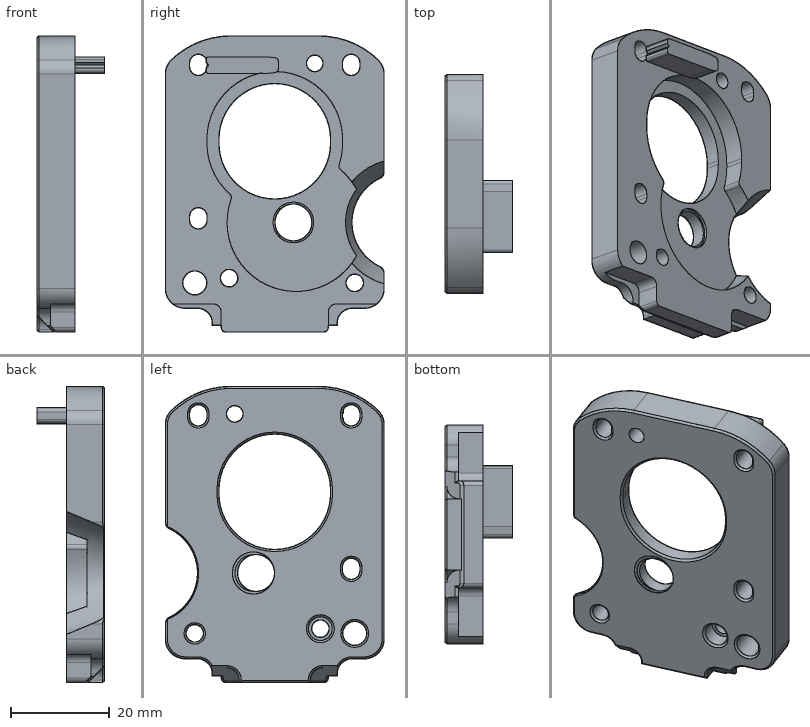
import cadquery as cq
import math


HEIGHT = 59.85
WIDTH = 44.2
HALF_WIDTH = WIDTH / 2
TOTAL_DEPTH = 13.7
PLATE_THICKNESS = 7.7
EDGE_CHAMFER = 0.4
TOP_FLAT_HALF = 8.85
TOP_ARC_RADIUS = 17.35
CORNER_RADIUS = 4.0

FRONT_LAYER = 2.75
FRONT_SHOULDER_Z = 4.8
FRONT_FOOT_HALF = 12.6
FRONT_FOOT_Z = 1.4
FRONT_FOOT_FILLET = 3.0
REAR_SHOULDER_Z = 5.7
REAR_FOOT_HALF = 10.85
REAR_FOOT_FILLET = 1.6
REAR_FOOT_END_RADIUS = 0.95
BEVEL = 3.4
BEVEL_INNER_HALF = 7.2
BEVEL_FILLET = 2.5

NOTCH_RADIUS = 9.9
NOTCH_REAR_RADIUS = 12.85
NOTCH_LIP = 0.25
NOTCH_Y = 25.5
NOTCH_Z = 22.15
NOTCH_LIP_RADIUS = 1.5

BORE_DIAMETER = 22.5
BORE_Z = 38.55
STRETCH = 0.8
RECESS_FLOOR_X = 3.55
BORE_RECESS_DIAMETER = 27.4

SHAFT_DIAMETER = 7.4
SHAFT_Y = 3.8
SHAFT_Z = 22.15
SEAT_Y = 4.3
SEAT_STEPS = ((8.5, 0.09), (SHAFT_DIAMETER, 0.2))
GEAR_RECESS_DIAMETER = 27.9
SHAFT_COUNTERBORE_DIAMETER = 8.2
SHAFT_COUNTERBORE_X = 3.0
RECESS_CORNER_RADIUS = 0.95

MOUNT_DIAMETER = 3.5
MOUNT_Y = 15.45
MOUNT_TOP_Z = 54.0
MOUNT_LOW_Z = 23.0
LOWER_HOLE_Y = 16.15
LOWER_HOLE_Z = 9.95
LARGE_HOLE_DIAMETER = 4.8
STEPPED_HOLE_Y = -9.2
STEPPED_HOLE_Z = 10.9
STEPPED_HOLE_DEPTH = 3.9
PIN_HOLE_DIAMETER = 3.3
PIN_HOLE_Y = 8.1
PIN_HOLE_Z = 54.3

TONGUE_TOP_Z = 55.6
TONGUE_BOTTOM_Z = 52.25
TONGUE_MIN_Y = -13.9
TONGUE_MAX_Y = 0.7
TONGUE_EDGE_RADIUS = 0.55
TONGUE_TIP_RADIUS = 0.8
TONGUE_TAPER_LENGTH = 2.3
TONGUE_TAPER_DROP = 0.25
GROOVE_DEPTH = 0.55


def yz_plane(x):
    return cq.Workplane("YZ", origin=(x, 0, 0))


def arc_drop(run):
    """Fall of the top arc at a horizontal run from the end of the top flat."""
    return TOP_ARC_RADIUS - math.sqrt(TOP_ARC_RADIUS ** 2 - run ** 2)


def layer(x_start, x_end, shoulder_z, foot_half, foot_z, foot_fillet):
    """One full-outline slice of the plate, its foot ending at foot_z."""
    run = HALF_WIDTH - TOP_FLAT_HALF
    side_top = HEIGHT - arc_drop(run)
    arc_mid = (TOP_FLAT_HALF + run / 2, HEIGHT - arc_drop(run / 2))
    slab = (
        yz_plane(x_start)
        .moveTo(-TOP_FLAT_HALF, HEIGHT)
        .lineTo(TOP_FLAT_HALF, HEIGHT)
        .threePointArc(arc_mid, (HALF_WIDTH, side_top))
        .lineTo(HALF_WIDTH, FRONT_SHOULDER_Z)
        .lineTo(-HALF_WIDTH, FRONT_SHOULDER_Z)
        .lineTo(-HALF_WIDTH, side_top)
        .threePointArc((-arc_mid[0], arc_mid[1]), (-TOP_FLAT_HALF, HEIGHT))
        .close()
        .extrude(x_end - x_start)
    )
    corners = slab.edges("|X and (>Y or <Y)")
    slab = corners.fillet(CORNER_RADIUS)
    trim = yz_plane(x_start).rect(2 * WIDTH, 2 * shoulder_z).extrude(x_end - x_start)
    foot_top = shoulder_z + foot_fillet
    foot = (
        yz_plane(x_start)
        .center(0, (foot_z + foot_top) / 2)
        .rect(2 * foot_half, foot_top - foot_z)
        .extrude(x_end - x_start)
    )
    slab = slab.cut(trim).union(foot)
    inner = cq.selectors.BoxSelector(
        (x_start - 0.6, -foot_half - 0.05, shoulder_z - 0.05), (x_end + 0.6, foot_half + 0.05, shoulder_z + 0.05)
    )
    return slab.edges("|X").edges(inner).fillet(foot_fillet)


def cone(radius_front, radius_rear, x_start, x_end):
    axis = cq.Vector(1, 0, 0)
    base = cq.Vector(x_start, NOTCH_Y, NOTCH_Z)
    return cq.Workplane(cq.Solid.makeCone(radius_front, radius_rear, x_end - x_start, base, axis))


def notch_cutter():
    """Round notch with rounded mouth corners, a fine front chamfer and a flare behind the lip."""
    band_half = NOTCH_RADIUS + 2 * NOTCH_LIP_RADIUS
    band = (
        yz_plane(0)
        .center(HALF_WIDTH + NOTCH_RADIUS / 2, NOTCH_Z)
        .rect(NOTCH_RADIUS, 2 * band_half)
        .extrude(PLATE_THICKNESS)
    )
    cutter = band.union(yz_plane(0).center(NOTCH_Y, NOTCH_Z).circle(NOTCH_RADIUS).extrude(PLATE_THICKNESS))
    mouth = cq.selectors.BoxSelector(
        (-0.6, HALF_WIDTH - 0.05, NOTCH_Z - band_half + 0.05),
        (PLATE_THICKNESS + 0.6, HALF_WIDTH + 0.05, NOTCH_Z + band_half - 0.05),
    )
    cutter = cutter.edges("|X").edges(mouth).fillet(NOTCH_LIP_RADIUS)
    cutter = cutter.union(cone(NOTCH_RADIUS + NOTCH_LIP, NOTCH_RADIUS, 0, NOTCH_LIP))
    return cutter.union(cone(NOTCH_RADIUS, NOTCH_REAR_RADIUS, NOTCH_LIP, PLATE_THICKNESS))


def foot_middle():
    """Unbevelled middle of the foot, flaring out into the bevelled ends."""
    flare_half = BEVEL_INNER_HALF + BEVEL_FILLET
    flare_top = BEVEL - EDGE_CHAMFER
    flare_z = flare_top - BEVEL_FILLET
    top_z = BEVEL + BEVEL_FILLET
    middle = (
        yz_plane(0)
        .moveTo(-BEVEL_INNER_HALF, 0)
        .lineTo(BEVEL_INNER_HALF, 0)
        .lineTo(BEVEL_INNER_HALF, flare_z)
        .radiusArc((flare_half, flare_top), BEVEL_FILLET)
        .lineTo(flare_half, top_z)
        .lineTo(-flare_half, top_z)
        .lineTo(-flare_half, flare_top)
        .radiusArc((-BEVEL_INNER_HALF, flare_z), BEVEL_FILLET)
        .close()
        .extrude(BEVEL)
    )
    lower = cq.selectors.BoxSelector((-0.6, -flare_half, -0.6), (EDGE_CHAMFER, flare_half, flare_top))
    return middle.faces("<X").edges(lower).chamfer(EDGE_CHAMFER)


def bevel_wedge():
    profile = [(0, BEVEL), (BEVEL, 0), (BEVEL, -BEVEL), (0, -BEVEL)]
    return cq.Workplane("XZ", origin=(0, WIDTH, 0)).polyline(profile).close().extrude(2 * WIDTH)


def stretched_hole(diameter, y, z, x_start, x_end):
    return (
        yz_plane(x_start).center(y, z).slot2D(diameter + STRETCH, diameter, 90).extrude(x_end - x_start)
    )


def round_hole(diameter, y, z, x_start, x_end):
    return yz_plane(x_start).center(y, z).circle(diameter / 2).extrude(x_end - x_start)


def rear_recesses():
    bore_recess = stretched_hole(BORE_RECESS_DIAMETER, 0, BORE_Z, RECESS_FLOOR_X, PLATE_THICKNESS)
    gear_recess = round_hole(GEAR_RECESS_DIAMETER, SEAT_Y, SHAFT_Z, RECESS_FLOOR_X, PLATE_THICKNESS)
    recess = bore_recess.union(gear_recess)
    meeting = cq.selectors.BoxSelector(
        (0, -WIDTH, SHAFT_Z + 0.6), (TOTAL_DEPTH, WIDTH, BORE_Z - STRETCH)
    )
    recess = recess.edges("|X").edges(meeting).fillet(RECESS_CORNER_RADIUS)
    counterbore = round_hole(
        SHAFT_COUNTERBORE_DIAMETER, SHAFT_Y, SHAFT_Z, SHAFT_COUNTERBORE_X, PLATE_THICKNESS
    )
    return recess.union(counterbore)


def tongue():
    mid_z = (TONGUE_TOP_Z + TONGUE_BOTTOM_Z) / 2
    taper_y = TONGUE_MAX_Y - TONGUE_TAPER_LENGTH
    bar = (
        yz_plane(PLATE_THICKNESS)
        .moveTo(TONGUE_MIN_Y, TONGUE_BOTTOM_Z)
        .lineTo(taper_y, TONGUE_BOTTOM_Z)
        .lineTo(TONGUE_MAX_Y, TONGUE_BOTTOM_Z + TONGUE_TAPER_DROP)
        .lineTo(TONGUE_MAX_Y, TONGUE_TOP_Z - TONGUE_TAPER_DROP)
        .lineTo(taper_y, TONGUE_TOP_Z)
        .lineTo(TONGUE_MIN_Y, TONGUE_TOP_Z)
        .close()
        .extrude(TOTAL_DEPTH - PLATE_THICKNESS)
    )
    bar = bar.faces(">Y").edges("|X").fillet(TONGUE_TIP_RADIUS)
    bar = bar.faces("<Y").edges("|X").fillet(TONGUE_EDGE_RADIUS)
    groove = (
        yz_plane(PLATE_THICKNESS)
        .moveTo(TONGUE_MIN_Y, mid_z - GROOVE_DEPTH)
        .lineTo(TONGUE_MIN_Y + GROOVE_DEPTH, mid_z)
        .lineTo(TONGUE_MIN_Y, mid_z + GROOVE_DEPTH)
        .close()
        .extrude(TOTAL_DEPTH - PLATE_THICKNESS)
    )
    return bar.cut(groove)


front = layer(0, FRONT_LAYER, FRONT_SHOULDER_Z, FRONT_FOOT_HALF, FRONT_FOOT_Z, FRONT_FOOT_FILLET)
rear = layer(FRONT_LAYER, PLATE_THICKNESS, REAR_SHOULDER_Z, REAR_FOOT_HALF, FRONT_FOOT_Z, REAR_FOOT_FILLET)

front = front.cut(stretched_hole(BORE_DIAMETER, 0, BORE_Z, 0, PLATE_THICKNESS))
rear = rear.cut(stretched_hole(BORE_DIAMETER, 0, BORE_Z, 0, PLATE_THICKNESS))
mount_places = [(MOUNT_Y, MOUNT_TOP_Z), (-MOUNT_Y, MOUNT_TOP_Z), (-MOUNT_Y, MOUNT_LOW_Z)]
holes = round_hole(MOUNT_DIAMETER, LOWER_HOLE_Y, LOWER_HOLE_Z, 0, PLATE_THICKNESS)
for y, z in mount_places:
    holes = holes.union(stretched_hole(MOUNT_DIAMETER, y, z, 0, PLATE_THICKNESS))
holes = holes.union(round_hole(LARGE_HOLE_DIAMETER, -LOWER_HOLE_Y, LOWER_HOLE_Z, 0, PLATE_THICKNESS))
holes = holes.union(round_hole(LARGE_HOLE_DIAMETER, STEPPED_HOLE_Y, STEPPED_HOLE_Z, 0, STEPPED_HOLE_DEPTH))
front = front.cut(holes).faces("<X").edges("not <Z").chamfer(EDGE_CHAMFER)
rear = rear.cut(holes)

rear_foot = (
    yz_plane(0)
    .center(0, FRONT_SHOULDER_Z / 2)
    .rect(2 * REAR_FOOT_HALF, FRONT_SHOULDER_Z)
    .extrude(PLATE_THICKNESS)
    .edges("|X and <Z")
    .fillet(REAR_FOOT_END_RADIUS)
)
plate = front.union(rear).union(rear_foot).cut(bevel_wedge())
bevel_rim = cq.selectors.BoxSelector(
    (BEVEL - FRONT_FOOT_Z, -2 * WIDTH, -0.6), (BEVEL - 0.05, 2 * WIDTH, FRONT_FOOT_Z - 0.05)
)
plate = plate.edges(bevel_rim).edges("not #X").chamfer(EDGE_CHAMFER)
plate = plate.union(foot_middle()).cut(notch_cutter())

plate = plate.cut(round_hole(MOUNT_DIAMETER, STEPPED_HOLE_Y, STEPPED_HOLE_Z, 0, PLATE_THICKNESS))
plate = plate.cut(round_hole(PIN_HOLE_DIAMETER, PIN_HOLE_Y, PIN_HOLE_Z, 0, PLATE_THICKNESS))
plate = plate.cut(rear_recesses())
for diameter, depth in SEAT_STEPS:
    plate = plate.cut(round_hole(diameter, SEAT_Y, SHAFT_Z, 0, depth))
plate = plate.cut(round_hole(SHAFT_DIAMETER, SHAFT_Y, SHAFT_Z, 0, PLATE_THICKNESS))

result = plate.union(tongue())